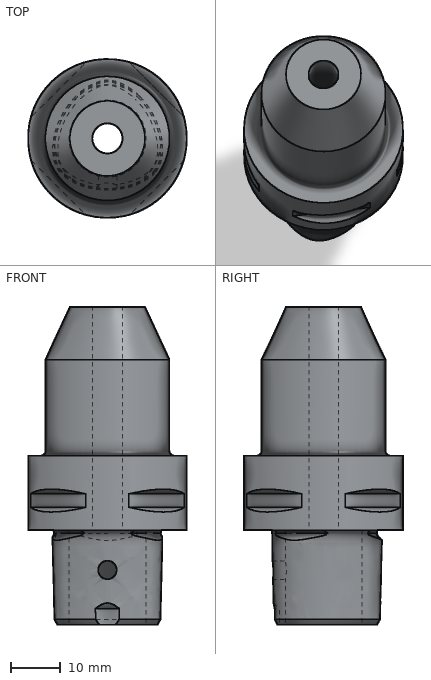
import cadquery as cq
import math

total_height = 64.0
shank_height = 19.1
taper_top = 16.6
chamfer_height = 1.15
flange_top = 34.05
cone_base = 53.4

flange_radius = 16.0
body_radius = 12.5
nose_radius = 7.55
body_fillet = 1.0

shank_radius = 11.1
lobe_height = 0.7
taper_slope = 0.025
chamfer_width = 0.65
outline_points = 120

groove_edge_radius = 10.9
groove_root_radius = 10.75
groove_wall_height = 0.6
groove_arc_radius = 1.0
groove_flank_height = 0.95

slot_count = 4
slot_first_angle = 45.0
slot_floor_distance = 13.95
slot_floor_height = 2.7
slot_flank_rise = 0.95
slot_center_z = 25.0

nose_bore_radius = 3.0
shank_bore_radius = 7.75

radial_hole_radius = 1.85
radial_hole_z = 11.1
notch_radius = 3.5
notch_axis_y = -12.4
notch_wall_height = 3.25


def trilobe_wire(mean_radius, z):
    """Closed three-lobed outline, the envelope of its tangents, with one lobe pointing to +Y."""

    def point(t):
        angle = 2 * math.pi * t
        support = mean_radius - lobe_height * math.sin(3 * angle)
        slope = -3 * lobe_height * math.cos(3 * angle)
        x = support * math.cos(angle) - slope * math.sin(angle)
        y = support * math.sin(angle) + slope * math.cos(angle)
        return (x, y)

    outline = cq.Workplane("XY").workplane(offset=z).parametricCurve(point, N=outline_points)
    return outline.wires().val()


def make_shank():
    """Chamfered end, tapered length and straight neck, stacked from three lofts."""
    end_radius = shank_radius - taper_slope * (taper_top - chamfer_height)
    sections = [
        trilobe_wire(end_radius - chamfer_width, 0),
        trilobe_wire(end_radius, chamfer_height),
        trilobe_wire(shank_radius, taper_top),
        trilobe_wire(shank_radius, shank_height),
    ]
    shank = cq.Workplane("XY")
    for lower, upper in zip(sections, sections[1:]):
        shank = shank.union(cq.Workplane(cq.Solid.makeLoft([lower, upper], True)))
    return shank


def make_relief_groove():
    """Ring that trims the lobes next to the flange."""
    root_z = shank_height - groove_wall_height
    arc_end_angle = math.radians(45)
    arc_end_radius = groove_root_radius + groove_arc_radius * (1 - math.cos(arc_end_angle))
    arc_end_z = root_z - groove_arc_radius * math.sin(arc_end_angle)
    outer_radius = arc_end_radius + groove_flank_height
    return (
        cq.Workplane("XZ")
        .moveTo(groove_edge_radius, shank_height)
        .lineTo(groove_root_radius, root_z)
        .radiusArc((arc_end_radius, arc_end_z), -groove_arc_radius)
        .lineTo(outer_radius, arc_end_z - groove_flank_height)
        .lineTo(outer_radius, shank_height)
        .close()
        .revolve(360, (0, 0, 0), (0, 1, 0))
    )


def make_upper_body():
    """Flange, filleted cylinder and conical nose."""
    return (
        cq.Workplane("XZ")
        .moveTo(0, shank_height)
        .lineTo(flange_radius, shank_height)
        .lineTo(flange_radius, flange_top)
        .lineTo(body_radius + body_fillet, flange_top)
        .radiusArc((body_radius, flange_top + body_fillet), body_fillet)
        .lineTo(body_radius, cone_base)
        .lineTo(nose_radius, total_height)
        .lineTo(0, total_height)
        .close()
        .revolve(360, (0, 0, 0), (0, 1, 0))
    )


def make_gripper_slot(angle):
    """Flat-floored slot with sloping flanks that open toward the rim."""
    half_floor = slot_floor_height / 2
    half_mouth = half_floor + slot_flank_rise
    return (
        cq.Workplane("XZ")
        .moveTo(slot_floor_distance, slot_center_z - half_floor)
        .lineTo(flange_radius, slot_center_z - half_mouth)
        .lineTo(flange_radius, slot_center_z + half_mouth)
        .lineTo(slot_floor_distance, slot_center_z + half_floor)
        .close()
        .extrude(flange_radius, both=True)
        .rotate((0, 0, 0), (0, 0, 1), angle)
    )


def make_drive_notch():
    """Upright cylinder with a 45 degree conical roof, centred outside the shank."""
    return (
        cq.Workplane("XZ")
        .lineTo(notch_radius, 0)
        .lineTo(notch_radius, notch_wall_height)
        .lineTo(0, notch_wall_height + notch_radius)
        .close()
        .revolve(360, (0, 0, 0), (0, 1, 0))
        .translate((0, notch_axis_y, 0))
    )


def make_radial_hole():
    """Hole from the -Y flat into the shank bore."""
    return (
        cq.Workplane("XZ")
        .center(0, radial_hole_z)
        .circle(radial_hole_radius)
        .extrude(flange_radius)
    )


shank_bore = cq.Workplane("XY").circle(shank_bore_radius).extrude(shank_height)
nose_bore = cq.Workplane("XY").circle(nose_bore_radius).extrude(total_height)

shank = make_shank().cut(make_relief_groove())
result = make_upper_body().union(shank)

for index in range(slot_count):
    slot_angle = slot_first_angle + index * 360 / slot_count
    result = result.cut(make_gripper_slot(slot_angle))

result = (
    result.cut(shank_bore)
    .cut(nose_bore)
    .cut(make_drive_notch())
    .cut(make_radial_hole())
)